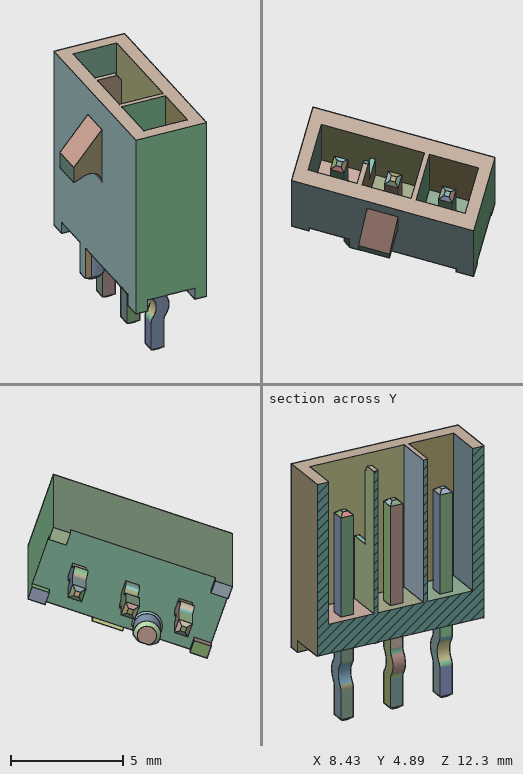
import cadquery as cq
import math


body_length = 8.43
body_width = 3.5
body_height = 8.5
front_y = -body_width / 2
foot_length = 0.81
foot_width = 0.59
foot_height = 0.58

pin_count = 3
pitch = 2.5
cell_length = 2.27
cell_width = 2.16
floor_thickness = 1.47
cell_depth = body_height - floor_thickness
partition_length = pitch - cell_length

partition_notch_depth = 3.92
notch_slope_run = 0.21
notch_slope_drop = 0.3

pin_size = 0.64
pin_bottom_z = -3.76
pin_recess = 1.96
pin_top_z = body_height - pin_recess
tip_inset = 0.2
tip_height = 0.17
bend_top_z = -0.7
bend_height = 1.47
bend_offset = 0.25

latch_width = 1.43
latch_reach = 1.39
latch_top_depth = 1.37
latch_nose_top_depth = 2.99
latch_nose_bottom_depth = 3.78
latch_root_depth = 4.15
latch_hollow_radius = 0.63

peg_radius = 0.61
peg_length = 1.59
peg_x = -pitch / 2
peg_y = -1.36
peg_tip_inset = 0.18
peg_tip_height = 0.21
peg_flare = 0.07
peg_flare_height = 0.13
peg_flat_width = 0.56
peg_facet_angle = 30.0

pin_positions = [(i - (pin_count - 1) / 2) * pitch for i in range(pin_count)]


def make_housing():
    """Block standing on four corner feet, with one open cell above each pin."""
    block = cq.Workplane("XY").box(body_length, body_width, body_height, centered=(True, True, False))
    feet = (
        cq.Workplane("XY")
        .rect(body_length - foot_length, body_width - foot_width, forConstruction=True)
        .vertices()
        .rect(foot_length, foot_width)
        .extrude(-foot_height)
    )
    cells = (
        cq.Workplane("XY", origin=(0, 0, floor_thickness))
        .pushPoints([(x, 0) for x in pin_positions])
        .rect(cell_length, cell_width)
        .extrude(cell_depth)
    )
    return block.union(feet).cut(cells)


def make_partition_notch():
    """Cutter that lowers the rear of the first partition, with a sloped edge at its middle."""
    middle_x = (pin_positions[0] + pin_positions[1]) / 2
    slope_start = -notch_slope_run / 2
    slope_end = notch_slope_run / 2
    notch_bottom = body_height - partition_notch_depth
    return (
        cq.Workplane("YZ", origin=(middle_x, 0, 0))
        .moveTo(slope_start, body_height)
        .lineTo(slope_end, body_height - notch_slope_drop)
        .lineTo(slope_end, notch_bottom)
        .lineTo(cell_width / 2, notch_bottom)
        .lineTo(cell_width / 2, body_height)
        .close()
        .extrude(partition_length / 2, both=True)
    )


def make_tip(base_z, height):
    """Four-sided taper from the pin section; a negative height points it down."""
    taper = math.degrees(math.atan2(tip_inset, tip_height))
    return cq.Workplane("XY", origin=(0, 0, base_z)).rect(pin_size, pin_size).extrude(height, taper=taper)


def make_pin(bend_direction):
    """Square pin tapered at both ends, with an S-shaped bend below the housing."""
    shank_top = pin_top_z - tip_height
    shank_bottom = pin_bottom_z + tip_height
    half_pin = pin_size / 2
    bend_middle = bend_top_z - bend_height / 2
    bend_bottom = bend_top_z - bend_height
    end_arc_height = bend_height / 6
    side_shift = bend_direction * bend_offset / 3
    crest_shift = bend_direction * bend_offset
    upper_join = bend_top_z - end_arc_height
    lower_join = bend_bottom + end_arc_height
    shank = (
        cq.Workplane("YZ")
        .moveTo(-half_pin, shank_top)
        .lineTo(-half_pin, bend_top_z)
        .tangentArcPoint((-half_pin + side_shift, upper_join), relative=False)
        .threePointArc((-half_pin + crest_shift, bend_middle), (-half_pin + side_shift, lower_join))
        .tangentArcPoint((-half_pin, bend_bottom), relative=False)
        .lineTo(-half_pin, shank_bottom)
        .lineTo(half_pin, shank_bottom)
        .lineTo(half_pin, bend_bottom)
        .tangentArcPoint((half_pin + side_shift, lower_join), relative=False)
        .threePointArc((half_pin + crest_shift, bend_middle), (half_pin + side_shift, upper_join))
        .tangentArcPoint((half_pin, bend_top_z), relative=False)
        .lineTo(half_pin, shank_top)
        .close()
        .extrude(half_pin, both=True)
    )
    return shank.union(make_tip(shank_top, tip_height)).union(make_tip(shank_bottom, -tip_height))


def make_latch():
    """Wedge on the front wall, hollowed underneath by an arc that runs into a straight lip."""
    nose_y = front_y - latch_reach
    hollow_y = front_y - latch_hollow_radius
    hollow_z = body_height - latch_root_depth
    nose_bottom_z = body_height - latch_nose_bottom_depth
    nose_dy = hollow_y - nose_y
    nose_dz = nose_bottom_z - hollow_z
    touch_angle = math.atan2(nose_dz, nose_dy) + math.acos(latch_hollow_radius / math.hypot(nose_dy, nose_dz))
    touch_y = hollow_y - latch_hollow_radius * math.cos(touch_angle)
    touch_z = hollow_z + latch_hollow_radius * math.sin(touch_angle)
    return (
        cq.Workplane("YZ")
        .moveTo(front_y, body_height - latch_top_depth)
        .lineTo(nose_y, body_height - latch_nose_top_depth)
        .lineTo(nose_y, nose_bottom_z)
        .lineTo(touch_y, touch_z)
        .tangentArcPoint((front_y, hollow_z), relative=False)
        .close()
        .extrude(latch_width / 2, both=True)
    )


def make_peg():
    """Round peg with a flared root and conical tip, trimmed by a front flat and two facets."""
    round_peg = (
        cq.Workplane("XZ")
        .moveTo(0, 0)
        .lineTo(peg_radius + peg_flare, 0)
        .lineTo(peg_radius, -peg_flare_height)
        .lineTo(peg_radius, peg_tip_height - peg_length)
        .lineTo(peg_radius - peg_tip_inset, -peg_length)
        .lineTo(0, -peg_length)
        .close()
        .revolve(360, (0, 0, 0), (0, 1, 0))
        .translate((peg_x, peg_y, 0))
    )
    outer_radius = peg_radius + peg_flare
    half_flat = peg_flat_width / 2
    facet_back_y = front_y + (outer_radius - half_flat) * math.tan(math.radians(peg_facet_angle))
    back_y = peg_y + outer_radius
    envelope = (
        cq.Workplane("XY")
        .polyline([
            (peg_x - half_flat, front_y),
            (peg_x + half_flat, front_y),
            (peg_x + outer_radius, facet_back_y),
            (peg_x + outer_radius, back_y),
            (peg_x - outer_radius, back_y),
            (peg_x - outer_radius, facet_back_y),
        ])
        .close()
        .extrude(-peg_length)
    )
    return round_peg.intersect(envelope)


result = make_housing().cut(make_partition_notch())
for index, pin_x in enumerate(pin_positions):
    bend_direction = 1 if index % 2 == 0 else -1
    result = result.union(make_pin(bend_direction).translate((pin_x, 0, 0)))
result = result.union(make_latch()).union(make_peg())